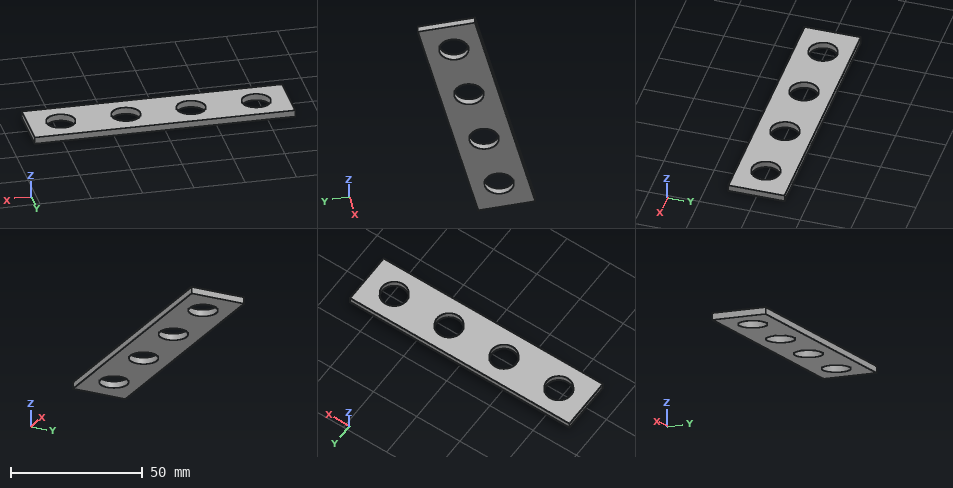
import cadquery as cq

length = 101.6
width = 22.35
thickness = 2.75

hole_diameter = 11.18
hole_count = 4
hole_pitch = length / hole_count


def make_bar():
    return cq.Workplane("XY").box(length, width, thickness, centered=(True, True, False))


def cut_holes(bar):
    return (
        bar.faces(">Z")
        .workplane(origin=(0, 0, thickness))
        .rarray(hole_pitch, width, hole_count, 1)
        .hole(hole_diameter)
    )


result = cut_holes(make_bar())